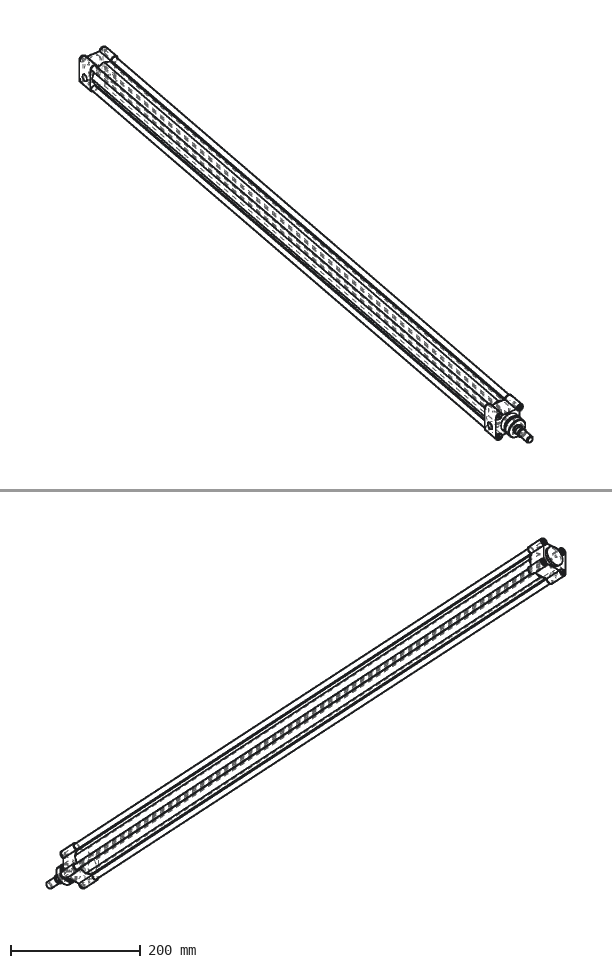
import cadquery as cq
import math


overall_length = 1163.7
overall_width = 51.38

rear_boss_length = 4.0
cap_length = 30.0
rear_cap_end = rear_boss_length + cap_length
front_cap_start = 1078.5
front_cap_end = front_cap_start + cap_length

column_radius = 6.4
column_offset = overall_width / 2 - column_radius
recess_half_width = 19.4
screw_hole_diameter = 4.0
screw_hole_depth = 16.0
counterbore_diameter = 10.4
counterbore_depth = 1.0

port_diameter = 11.8
port_depth = 12.0
port_drop = 5.6
rear_port_x = 19.0
front_port_x = 1093.0

barrel_column_radius = 4.7
barrel_core_half_width = 17.6
ridge_half_width = 12.4
ridge_shoulder_offset = 5.2
ridge_shoulder_height = 21.1
ridge_peak_height = 22.7

boss_radius = 16.0
groove_radius = 14.5
groove_start = front_cap_end + 8.0
groove_width = 2.5
boss_end = front_cap_end + 20.7
boss_chamfer = 0.9
gland_radius = 7.3
gland_end = boss_end + 4.3

rod_radius = 6.0
thread_radius = rod_radius
collar_radius = 7.3
collar_start = 1140.0
collar_thickness = 2.0
thread_chamfer = 1.5


def box_section(x_start, length, y_min, y_max, z_min, z_max):
    """Rectangular bar running along X."""
    return cq.Workplane("XY").box(length, y_max - y_min, z_max - z_min, centered=False).translate(
        (x_start, y_min, z_min)
    )


def corner_cylinders(x_start, length, radius):
    """Four round columns parallel to X, one at each corner."""
    return (
        cq.Workplane("YZ", origin=(x_start, 0, 0))
        .rect(2 * column_offset, 2 * column_offset, forConstruction=True)
        .vertices()
        .circle(radius)
        .extrude(length)
    )


def revolve_about_axis(points):
    """Turned shape about X from (x, radius) points."""
    return (
        cq.Workplane("XY")
        .polyline([(x, -radius) for x, radius in points])
        .close()
        .revolve(360, (0, 0, 0), (1, 0, 0))
    )


def make_cap_block(x_start, port_x, screw_face_x):
    """Cap with corner columns, a flat port face on -Y, an air port and screw holes from one end face."""
    block = box_section(
        x_start, cap_length, -recess_half_width, recess_half_width, -recess_half_width, recess_half_width
    )
    port_face = box_section(
        x_start, cap_length, -overall_width / 2, 0, -column_offset, column_offset
    )
    block = block.union(port_face).union(corner_cylinders(x_start, cap_length, column_radius))
    port = (
        cq.Workplane("XZ", origin=(port_x, -overall_width / 2, -port_drop))
        .circle(port_diameter / 2)
        .extrude(-port_depth)
    )
    inward = math.copysign(1, x_start + cap_length / 2 - screw_face_x)
    screw_holes = corner_cylinders(screw_face_x, inward * screw_hole_depth, screw_hole_diameter / 2)
    counterbores = corner_cylinders(screw_face_x, inward * counterbore_depth, counterbore_diameter / 2)
    return block.cut(port).cut(screw_holes).cut(counterbores)


def make_rear_cap():
    boss = revolve_about_axis(
        [(0, 0), (0, boss_radius), (rear_boss_length, boss_radius), (rear_boss_length, 0)]
    )
    return make_cap_block(rear_boss_length, rear_port_x, rear_boss_length).union(boss)


def make_front_cap():
    groove_end = groove_start + groove_width
    nose = revolve_about_axis(
        [
            (front_cap_end, 0),
            (front_cap_end, boss_radius),
            (groove_start, boss_radius),
            (groove_start, groove_radius),
            (groove_end, groove_radius),
            (groove_end, boss_radius),
            (boss_end - boss_chamfer, boss_radius),
            (boss_end, boss_radius - boss_chamfer),
            (boss_end, gland_radius),
            (gland_end, gland_radius),
            (gland_end, 0),
        ]
    )
    rod_bore = (
        cq.Workplane("YZ", origin=(front_cap_start, 0, 0))
        .circle(rod_radius)
        .extrude(gland_end - front_cap_start)
    )
    return make_cap_block(front_cap_start, front_port_x, front_cap_end).union(nose).cut(rod_bore)


def make_barrel():
    """Extruded barrel: square core, a low faceted ridge along each side and round corner columns."""
    length = front_cap_start - rear_cap_end
    half = barrel_core_half_width
    barrel = box_section(rear_cap_end, length, -half, half, -half, half)
    ridge_outline = [
        (-ridge_half_width, 0),
        (-ridge_half_width, half),
        (-ridge_shoulder_offset, ridge_shoulder_height),
        (0, ridge_peak_height),
        (ridge_shoulder_offset, ridge_shoulder_height),
        (ridge_half_width, half),
        (ridge_half_width, 0),
    ]
    ridge = cq.Workplane("YZ", origin=(rear_cap_end, 0, 0)).polyline(ridge_outline).close().extrude(length)
    for side in range(4):
        barrel = barrel.union(ridge.rotate((0, 0, 0), (1, 0, 0), side * 90))
    return barrel.union(corner_cylinders(rear_cap_end, length, barrel_column_radius))


def make_rod():
    """Rod from the barrel end face through the front cap, with a collar and a threaded tip."""
    collar_end = collar_start + collar_thickness
    return revolve_about_axis(
        [
            (front_cap_start, 0),
            (front_cap_start, rod_radius),
            (collar_start, rod_radius),
            (collar_start, collar_radius),
            (collar_end, collar_radius),
            (collar_end, thread_radius),
            (overall_length - thread_chamfer, thread_radius),
            (overall_length, thread_radius - thread_chamfer),
            (overall_length, 0),
        ]
    )


rear_cap = make_rear_cap()
barrel = make_barrel()
front_cap = make_front_cap()
rod = make_rod()

result = cq.Compound.makeCompound([rear_cap.val(), barrel.val(), front_cap.val(), rod.val()])